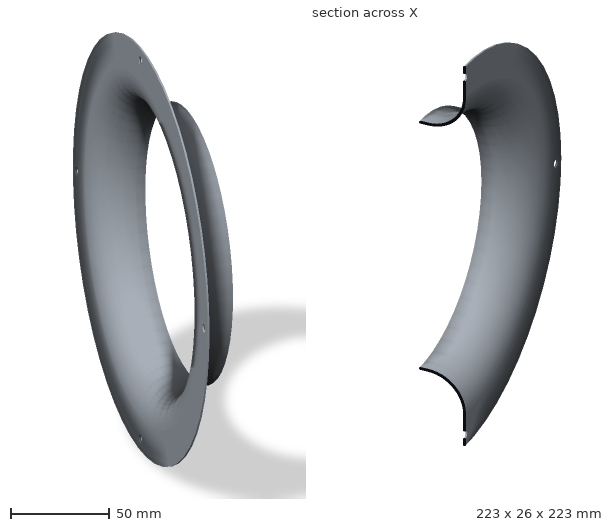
import cadquery as cq
import math

sheet_thickness = 1.0
flange_diameter = 223.0
throat_diameter = 144.0
total_depth = 26.0
collar_length = 5.0
hole_diameter = 4.5
hole_circle_diameter = 210.0
hole_count = 4

flange_radius = flange_diameter / 2
throat_radius = throat_diameter / 2
collar_outer_radius = throat_radius + sheet_thickness
bend_depth = total_depth - collar_length
inlet_bend_radius = bend_depth
back_bend_radius = inlet_bend_radius - sheet_thickness
bend_center_radius = throat_radius + inlet_bend_radius


def bend_point(bend_radius):
    """Middle of a quarter-circle bend, as (radius, depth) on the profile."""
    offset = bend_radius * math.sqrt(0.5)
    return (bend_center_radius - offset, bend_depth - offset)


def make_bellmouth():
    """Revolve the sheet profile: flat flange, flared bend and straight collar."""
    profile = (
        cq.Workplane("XY")
        .moveTo(flange_radius, 0)
        .lineTo(bend_center_radius, 0)
        .threePointArc(bend_point(inlet_bend_radius), (throat_radius, bend_depth))
        .lineTo(throat_radius, total_depth)
        .lineTo(collar_outer_radius, total_depth)
        .lineTo(collar_outer_radius, bend_depth)
        .threePointArc(bend_point(back_bend_radius), (bend_center_radius, sheet_thickness))
        .lineTo(flange_radius, sheet_thickness)
        .close()
    )
    return profile.revolve(360, (0, 0, 0), (0, 1, 0))


def make_mounting_holes():
    """Cylinders through the flange, evenly spaced on the hole circle."""
    return (
        cq.Workplane("XZ")
        .polarArray(hole_circle_diameter / 2, 0, 360, hole_count)
        .circle(hole_diameter / 2)
        .extrude(sheet_thickness, both=True)
    )


result = make_bellmouth().cut(make_mounting_holes())